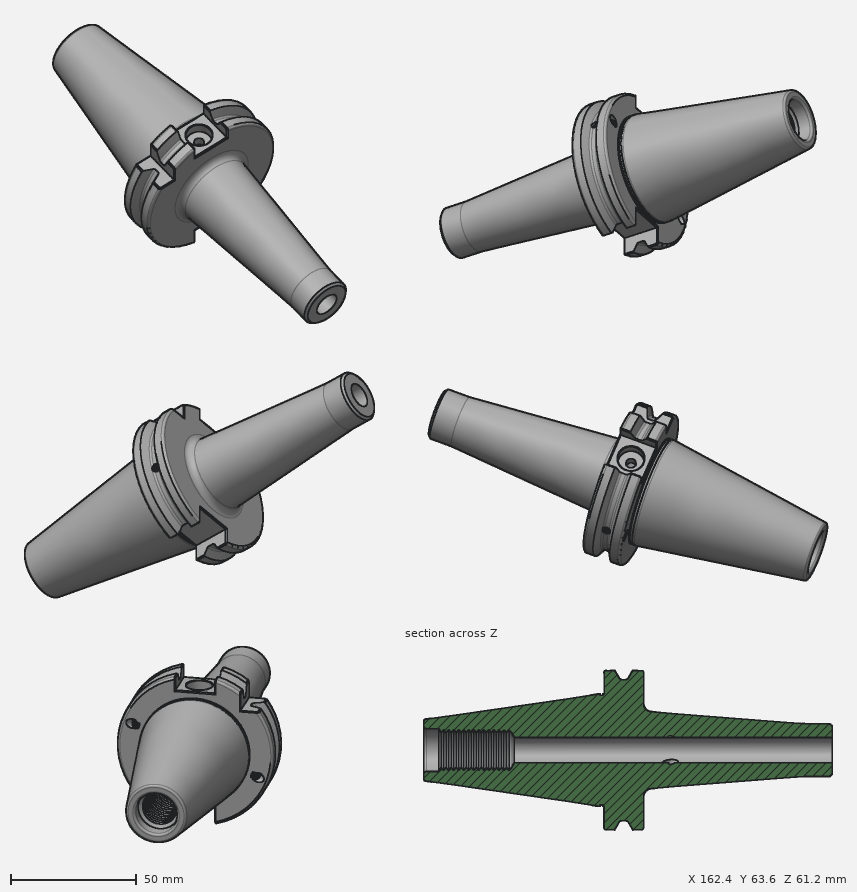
import cadquery as cq
import math


total_length = 162.4
edge_tolerance = 1e-4
overshoot = 1.0

taper_slope = 7 / 24 / 2
taper_length = 68.4
gauge_radius = 44.45 / 2
taper_end_radius = gauge_radius - taper_length * taper_slope
taper_rim_fillet = 1.0

taper_run_out = 0.8
collar_start = taper_length + taper_run_out
collar_radius = gauge_radius + taper_run_out * taper_slope
undercut_start = taper_length + 1.7
undercut_end = taper_length + 2.8
undercut_depth = 0.5
undercut_radius = collar_radius - undercut_depth

flange_start = taper_length + 3.2
flange_end = taper_length + 19.1
flange_radius = 63.55 / 2
flange_edge_fillet = 1.0

groove_center = taper_length + 11.1
groove_floor_radius = 56.25 / 2
groove_floor_half_width = 1.45
groove_flank_angle = 30.0
groove_floor_fillet = 1.0

nose_radius = 10.5
nose_length = 10.0
nose_chamfer = 1.0
neck_angle = 4.5
neck_fillet = 3.0

slot_width = 16.0
upper_slot_floor = 25.0
lower_slot_floor = 22.8
notch_offset = 18.5
slot_edge_chamfer = 0.5
notch_edge_chamfer = 0.4

through_radius = 5.0
counterbore_radius = 8.5
counterbore_depth = 6.0
thread_minor_radius = 6.9
thread_major_radius = 8.0
thread_pitch = 2.0
thread_turns = 14
countersink_angle = 60.0
drill_point_angle = 59.0

chip_pocket_radius = 5.25
chip_pocket_depth = 4.6
chip_hole_radius = 2.0
chip_hole_depth = 4.0
chip_pocket_chamfer = 0.25

coolant_circle_radius = 27.3
coolant_position_angle = 20.0
coolant_slant = 40.0
coolant_minor_radius = 1.9
coolant_major_radius = 2.2
coolant_thread_start = 1.7
coolant_pitch = 0.8
coolant_thread_turns = 8

lead_in = 3.0

groove_screw_minor_radius = 1.65
groove_screw_major_radius = 2.0
groove_screw_pitch = 0.7
groove_screw_turns = 4
groove_screw_thread_start = 1.0


def cone_length(radial_step, half_angle):
    """Axial length of a cone that changes radius by radial_step."""
    return radial_step / math.tan(math.radians(half_angle))


def revolve_about_x(profile):
    """Turn a half outline drawn in the XZ plane into a solid of revolution."""
    return profile.close().revolve(360, (0, 0, 0), (1, 0, 0))


def make_taper():
    taper = revolve_about_x(
        cq.Workplane("XZ")
        .moveTo(0, 0)
        .lineTo(0, taper_end_radius)
        .lineTo(collar_start, collar_radius)
        .lineTo(undercut_start, collar_radius)
        .lineTo(undercut_start, undercut_radius)
        .lineTo(undercut_end, undercut_radius)
        .lineTo(undercut_end, collar_radius)
        .lineTo(flange_start, collar_radius)
        .lineTo(flange_start, 0)
    )
    return taper.faces("<X").edges().fillet(taper_rim_fillet)


def make_neck():
    nose_start = total_length - nose_length
    neck_slope = math.tan(math.radians(neck_angle))
    root_radius = nose_radius + (nose_start - flange_end) * neck_slope
    fillet_x = flange_end + neck_fillet
    cone_radius = root_radius - neck_fillet * neck_slope
    fillet_r = cone_radius + neck_fillet / math.cos(math.radians(neck_angle))
    tangent_x = fillet_x - neck_fillet * math.sin(math.radians(neck_angle))
    tangent_r = fillet_r - neck_fillet * math.cos(math.radians(neck_angle))
    mid_angle = math.radians((180 + 270 - neck_angle) / 2)
    arc_middle = (
        fillet_x + neck_fillet * math.cos(mid_angle),
        fillet_r + neck_fillet * math.sin(mid_angle),
    )
    return revolve_about_x(
        cq.Workplane("XZ")
        .moveTo(flange_end - overshoot, 0)
        .lineTo(flange_end - overshoot, fillet_r)
        .lineTo(flange_end, fillet_r)
        .threePointArc(arc_middle, (tangent_x, tangent_r))
        .lineTo(nose_start, nose_radius)
        .lineTo(total_length - nose_chamfer, nose_radius)
        .lineTo(total_length, nose_radius - nose_chamfer)
        .lineTo(total_length, 0)
    )


def slot_box(y_start, y_end, z_start, z_end):
    """Box spanning the flange thickness."""
    length = flange_end - flange_start
    box = cq.Workplane("XY").box(length, y_end - y_start, z_end - z_start, centered=False)
    return box.translate((flange_start, y_start, z_start))


def cut_slot(flange, box, inner_corners, rim_chamfer):
    """Cut a box out of the flange and chamfer its rims, leaving its inner corners sharp.

    Each inner corner is the (y, z) place of an edge along X between two slot faces.
    """
    flange = flange.cut(box)
    box_solid = box.val()
    rims = []
    for edge in flange.edges().vals():
        on_box = all(box_solid.isInside(edge.positionAt(part), edge_tolerance) for part in (0.2, 0.5, 0.8))
        middle = edge.positionAt(0.5)
        inner = any(math.dist((middle.y, middle.z), corner) < edge_tolerance for corner in inner_corners)
        if on_box and not inner:
            rims.append(edge)
    return flange.newObject(rims).chamfer(rim_chamfer)


def make_groove_cutter():
    flank_slope = math.tan(math.radians(groove_flank_angle))
    top_radius = flange_radius + overshoot
    top_half_width = groove_floor_half_width + (top_radius - groove_floor_radius) * flank_slope
    cutter = revolve_about_x(
        cq.Workplane("XZ")
        .moveTo(groove_center - top_half_width, top_radius)
        .lineTo(groove_center - groove_floor_half_width, groove_floor_radius)
        .lineTo(groove_center + groove_floor_half_width, groove_floor_radius)
        .lineTo(groove_center + top_half_width, top_radius)
    )
    floor_edges = cq.selectors.RadiusNthSelector(0)
    return cutter.edges("%CIRCLE").edges(floor_edges).fillet(groove_floor_fillet)


def make_flange():
    flange = (
        cq.Workplane("YZ", origin=(flange_start, 0, 0))
        .circle(flange_radius)
        .extrude(flange_end - flange_start)
        .edges("%CIRCLE")
        .fillet(flange_edge_fillet)
    )
    outside = flange_radius + overshoot
    half_slot = slot_width / 2
    for floor, outer in ((upper_slot_floor, outside), (-lower_slot_floor, -outside)):
        box = slot_box(-half_slot, half_slot, min(floor, outer), max(floor, outer))
        flange = cut_slot(flange, box, [(-half_slot, floor), (half_slot, floor)], slot_edge_chamfer)
    notch = slot_box(-outside, -notch_offset, notch_offset, outside)
    flange = cut_slot(flange, notch, [(-notch_offset, notch_offset)], notch_edge_chamfer)
    return flange.cut(make_groove_cutter())


def thread_profile(profile, minor_radius, major_radius, pitch, turns):
    """Continue a profile along +X with one V ridge per pitch, from the minor radius back to it."""
    for _ in range(turns):
        profile = profile.line(pitch / 2, major_radius - minor_radius)
        profile = profile.line(pitch / 2, minor_radius - major_radius)
    return profile


def make_axial_bore():
    countersink_length = cone_length(counterbore_radius - thread_minor_radius, countersink_angle)
    profile = (
        cq.Workplane("XZ")
        .moveTo(0, 0)
        .lineTo(0, counterbore_radius)
        .lineTo(counterbore_depth, counterbore_radius)
        .lineTo(counterbore_depth + countersink_length, thread_minor_radius)
    )
    profile = thread_profile(profile, thread_minor_radius, thread_major_radius, thread_pitch, thread_turns)
    thread_end = counterbore_depth + countersink_length + thread_turns * thread_pitch
    drill_point_length = cone_length(thread_minor_radius - through_radius, drill_point_angle)
    return revolve_about_x(
        profile.lineTo(thread_end + drill_point_length, through_radius)
        .lineTo(total_length, through_radius)
        .lineTo(total_length, 0)
    )


def threaded_hole(minor_radius, major_radius, pitch, turns, thread_start, length):
    """Hole along +X from just before the origin, with a thread after its plain mouth."""
    profile = cq.Workplane("XZ").moveTo(-lead_in, 0).lineTo(-lead_in, minor_radius)
    profile = profile.lineTo(thread_start, minor_radius)
    profile = thread_profile(profile, minor_radius, major_radius, pitch, turns)
    return revolve_about_x(profile.lineTo(length, minor_radius).lineTo(length, 0))


def drilled_hole(radius, depth):
    """Hole along +X from the origin, with a drill point."""
    return revolve_about_x(
        cq.Workplane("XZ")
        .moveTo(0, 0)
        .lineTo(0, radius)
        .lineTo(depth, radius)
        .lineTo(depth + cone_length(radius, drill_point_angle), 0)
    )


def make_chip_pocket():
    pocket_floor = upper_slot_floor - chip_pocket_depth
    pocket = (
        cq.Workplane("XY", origin=(groove_center, 0, pocket_floor))
        .circle(chip_pocket_radius)
        .extrude(chip_pocket_depth)
    )
    rim = cq.Solid.makeCone(
        chip_pocket_radius,
        chip_pocket_radius + chip_pocket_chamfer,
        chip_pocket_chamfer,
        pnt=(groove_center, 0, upper_slot_floor - chip_pocket_chamfer),
    )
    hole = drilled_hole(chip_hole_radius, chip_hole_depth).rotate((0, 0, 0), (0, 1, 0), 90)
    return pocket.union(rim).union(hole.translate((groove_center, 0, pocket_floor)))


def make_coolant_holes():
    slant_length = coolant_circle_radius / math.sin(math.radians(coolant_slant))
    slanted = threaded_hole(
        coolant_minor_radius,
        coolant_major_radius,
        coolant_pitch,
        coolant_thread_turns,
        coolant_thread_start,
        slant_length,
    )
    slanted = slanted.rotate((0, 0, 0), (0, 0, 1), -coolant_slant)
    slanted = slanted.translate((flange_start, coolant_circle_radius, 0))

    slant_slope = math.tan(math.radians(coolant_slant))
    meeting_radius = coolant_circle_radius - (groove_center - flange_start) * slant_slope
    radial = threaded_hole(
        groove_screw_minor_radius,
        groove_screw_major_radius,
        groove_screw_pitch,
        groove_screw_turns,
        groove_screw_thread_start,
        groove_floor_radius - meeting_radius,
    )
    radial = radial.rotate((0, 0, 0), (0, 0, 1), -90).translate((groove_center, groove_floor_radius, 0))

    pair = slanted.union(radial).rotate((0, 0, 0), (1, 0, 0), coolant_position_angle)
    return pair.union(pair.rotate((0, 0, 0), (1, 0, 0), 180))


body = make_taper().union(make_flange()).union(make_neck())
body = body.cut(make_axial_bore())
body = body.faces("<X").edges(cq.selectors.RadiusNthSelector(0)).fillet(taper_rim_fillet)
result = body.cut(make_chip_pocket()).cut(make_coolant_holes())